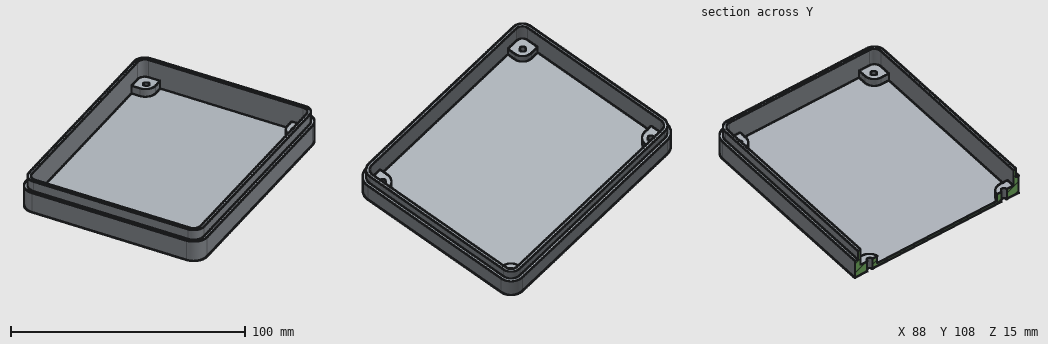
import cadquery as cq

length_x = 88.0
length_y = 108.0
height = 15.0
corner_radius = 6.5

ledge_height = 10.0
ledge_width = 1.5
lip_thickness = 1.5
floor_thickness = 2.0

boss_reach = 12.1
boss_height = 4.0
boss_radius = 5.0
hole_inset = 8.0
hole_diameter = 2.7

cavity_inset = ledge_width + lip_thickness
boss_top = floor_thickness + boss_height


def inset_block(inset, bottom, top):
    """Rounded block whose sides lie a given distance inside the tray's outer faces."""
    return (
        cq.Workplane("XY", origin=(0, 0, bottom))
        .rect(length_x - 2 * inset, length_y - 2 * inset)
        .extrude(top - bottom)
        .edges("|Z")
        .fillet(corner_radius - inset)
    )


def corner_bosses():
    """Four pads that fill the cavity corners, each rounded towards the middle."""
    pads = cq.Workplane("XY")
    for x_side in (-1, 1):
        for y_side in (-1, 1):
            center_x = x_side * (length_x - boss_reach) / 2
            center_y = y_side * (length_y - boss_reach) / 2
            inner_x = "<X" if x_side > 0 else ">X"
            inner_y = "<Y" if y_side > 0 else ">Y"
            pad = (
                cq.Workplane("XY", origin=(center_x, center_y, 0))
                .rect(boss_reach, boss_reach)
                .extrude(boss_top)
                .edges("|Z")
                .edges(inner_x)
                .edges(inner_y)
                .fillet(boss_radius)
            )
            pads = pads.add(pad)
    return pads.combine().intersect(inset_block(cavity_inset, 0, boss_top))


base = inset_block(0, 0, ledge_height)
lip = inset_block(ledge_width, 0, height)
cavity = inset_block(cavity_inset, floor_thickness, height)
tray = base.union(lip).cut(cavity).union(corner_bosses())

screw_holes = (
    cq.Workplane("XY")
    .rect(length_x - 2 * hole_inset, length_y - 2 * hole_inset, forConstruction=True)
    .vertices()
    .circle(hole_diameter / 2)
    .extrude(boss_top)
)

result = tray.cut(screw_holes)